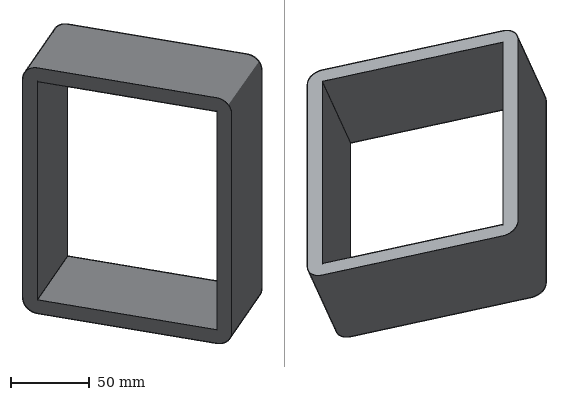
import cadquery as cq

width = 140.5
depth = 60.0
height = 179.5

wall = 10.0
corner_radius = wall

block = cq.Workplane("XY").box(width, depth, height).edges("|Y").fillet(corner_radius)

opening = cq.Workplane("XY").box(width - 2 * wall, depth, height - 2 * wall)

result = block.cut(opening)